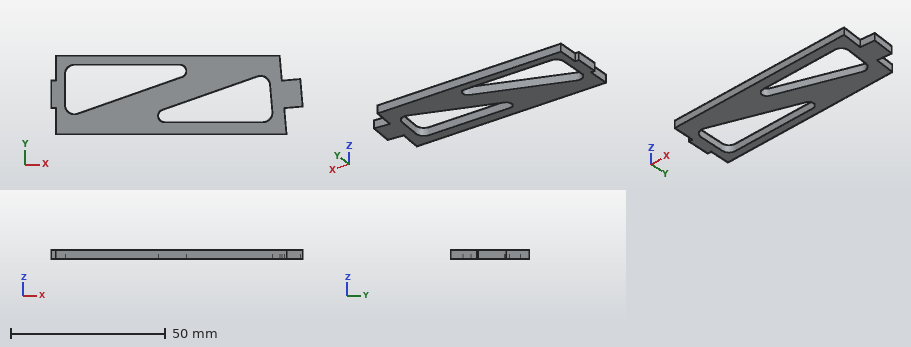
import cadquery as cq
import math

thickness = 3.0
height = 25.5
top_length = 72.5
lean_angle = 5.0

tab_width = 9.0
tab_offset = 8.5
left_tab_length = 1.5
right_tab_length = 6.0

left_wall = 3.0
top_wall = 3.0
right_wall = 4.0
bottom_wall = 4.0
strut_width = 8.0
end_radius = 3.0
tip_radius = 2.0

lean_slope = math.tan(math.radians(lean_angle))
bottom_length = top_length + height * lean_slope

strut_slope = height / top_length
strut_half_rise = strut_width / 2 * math.hypot(1, strut_slope)


def extrude_outline(points):
    return cq.Workplane("XY").polyline(points).close().extrude(thickness)


def right_wall_x(y):
    """X of the inner face of the leaning right wall at height y."""
    return bottom_length - y * lean_slope - right_wall * math.hypot(1, lean_slope)


def make_tab(length):
    """Tab pointing along +X, its root on the Y axis."""
    return cq.Workplane("XY").box(length, tab_width, thickness, centered=False).translate((0, tab_offset, 0))


def make_plate():
    plate = extrude_outline([(0, 0), (bottom_length, 0), (top_length, height), (0, height)])
    left_tab = make_tab(left_tab_length).translate((-left_tab_length, 0, 0))
    right_tab = make_tab(right_tab_length).rotate((0, 0, 0), (0, 0, 1), lean_angle)
    right_tab = right_tab.translate((bottom_length, 0, 0))
    return plate.union(left_tab).union(right_tab)


def make_window(points, tip_side):
    """Three-cornered cutter with its pointed corner at the tip_side end ("<X" or ">X")."""
    window = extrude_outline(points)
    window = window.edges("|Z").edges(tip_side).fillet(tip_radius)
    end_corners = [cq.selectors.NearestToPointSelector((x, y, thickness / 2)) for x, y in points[1:]]
    return window.edges(end_corners[0] + end_corners[1]).fillet(end_radius)


def make_upper_window():
    top = height - top_wall
    tip = ((top - strut_half_rise) / strut_slope, top)
    upper_corner = (left_wall, top)
    lower_corner = (left_wall, left_wall * strut_slope + strut_half_rise)
    return make_window([tip, upper_corner, lower_corner], ">X")


def make_lower_window():
    tip = ((bottom_wall + strut_half_rise) / strut_slope, bottom_wall)
    lower_corner = (right_wall_x(bottom_wall), bottom_wall)
    meeting_y = (strut_slope * right_wall_x(0) - strut_half_rise) / (1 + strut_slope * lean_slope)
    upper_corner = (right_wall_x(meeting_y), meeting_y)
    return make_window([tip, lower_corner, upper_corner], "<X")


result = make_plate().cut(make_upper_window()).cut(make_lower_window())